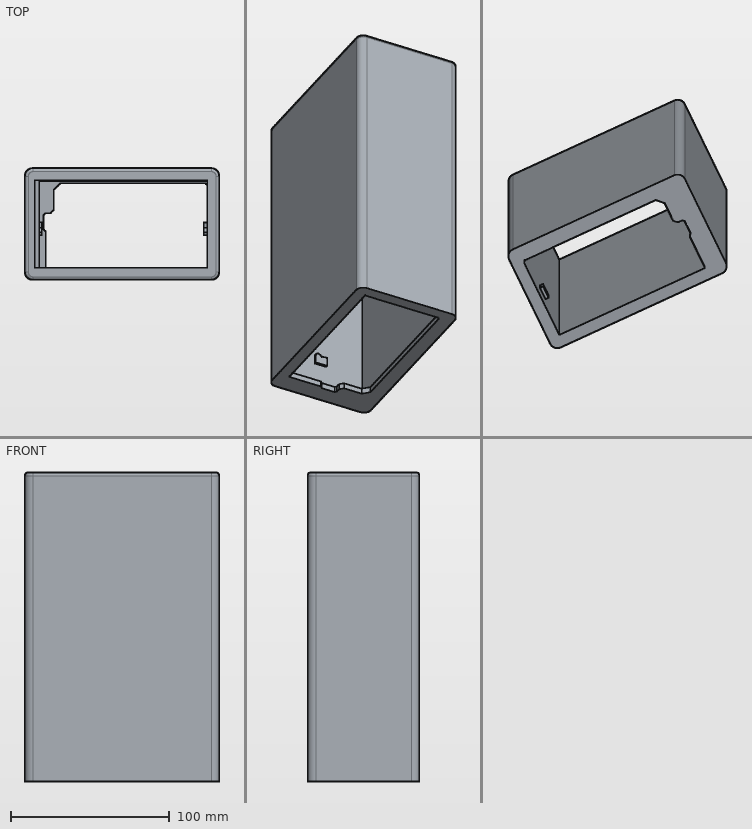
import cadquery as cq

length = 122.5
depth = 70.5
height = 194.7
corner_radius = 5.0
rim_radius = 2.1

mouth_left = -55.0
right_wall = 53.5
back_mouth = 27.5
front_wall = -27.5
mouth_depth = 20.0

left_ledge = 3.0
back_ledge = 0.49
cavity_left = mouth_left + left_ledge
cavity_back = back_mouth - back_ledge

floor_thickness = 3.9
back_lip = 1.4
cutout_back = cavity_back - back_lip
pad_edge = -42.8
pad_front = 6.6
notch_edge = -49.3
notch_front = -3.5
strip_edge = -47.9
pad_back_chamfer = 4.0
pad_front_chamfer = 2.3
notch_chamfer = 1.0
strip_step = strip_edge - notch_edge
right_chamfer = 1.2

left_catch_reach = 1.4
right_catch_reach = 2.1
catch_base = 19.5
catch_height = 5.8
ridge_rise = 1.5
shelf_rise = 0.4
catch_front = -7.2
ridge_y = -5.0
shelf_front = -2.5
catch_back = 1.0


def box_between(x_range, y_range, z_range):
    """Box spanning the given (low, high) ranges."""
    sizes = [high - low for low, high in (x_range, y_range, z_range)]
    origin = (x_range[0], y_range[0], z_range[0])
    return cq.Workplane("XY").box(*sizes, centered=False).translate(origin)


def make_shell():
    block = cq.Workplane("XY").box(length, depth, height, centered=(True, True, False))
    return block.edges("|Z").fillet(corner_radius).faces(">Z").edges().fillet(rim_radius)


def make_mouth():
    return box_between(
        (mouth_left, right_wall), (front_wall, back_mouth), (height - mouth_depth, height)
    )


def make_cavity():
    return box_between(
        (cavity_left, right_wall), (front_wall, cavity_back), (floor_thickness, height)
    )


def make_floor_cutout():
    outline = [
        (strip_edge, front_wall),
        (right_wall, front_wall),
        (right_wall, cutout_back - right_chamfer),
        (right_wall - right_chamfer, cutout_back),
        (pad_edge + pad_back_chamfer, cutout_back),
        (pad_edge, cutout_back - pad_back_chamfer),
        (pad_edge, pad_front + pad_front_chamfer),
        (pad_edge - pad_front_chamfer, pad_front),
        (notch_edge + notch_chamfer, pad_front),
        (notch_edge, pad_front - notch_chamfer),
        (notch_edge, notch_front),
        (strip_edge, notch_front - strip_step),
    ]
    return cq.Workplane("XY").polyline(outline).close().extrude(floor_thickness)


def make_catch(start_x, reach):
    """Ridged catch running along X from start_x, with a rounded front."""
    shelf_top = catch_base + catch_height
    ridge_top = shelf_top + ridge_rise
    front_radius = ridge_y - catch_front
    return (
        cq.Workplane("YZ", origin=(start_x, 0, 0))
        .moveTo(catch_front, catch_base)
        .lineTo(catch_back, catch_base)
        .lineTo(catch_back, shelf_top + shelf_rise)
        .lineTo(shelf_front, shelf_top)
        .lineTo(ridge_y, ridge_top)
        .radiusArc((catch_front, ridge_top - front_radius), -front_radius)
        .close()
        .extrude(reach)
    )


result = (
    make_shell()
    .cut(make_mouth())
    .cut(make_cavity())
    .cut(make_floor_cutout())
    .union(make_catch(cavity_left, left_catch_reach))
    .union(make_catch(right_wall - right_catch_reach, right_catch_reach))
)